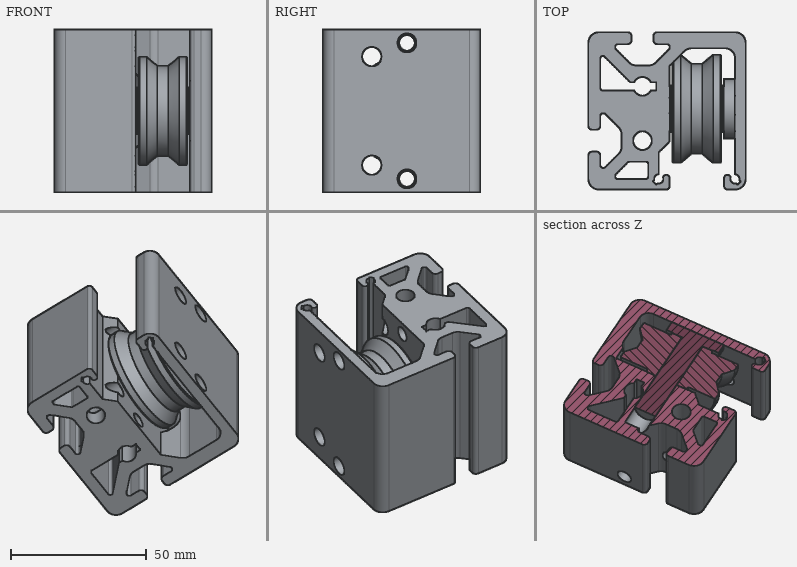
import cadquery as cq
SIDE = 58.0
HEIGHT = 60.0
CORNER_RADIUS = 4.0
WALL = 4.0
LIP = 4.5
INNER_RADIUS = 0.9
CHAMBER_RADIUS = 0.6

SLOT_CENTRE = 20.0
SLOT_OPENING = 8.0
SLOT_WIDTH = 20.0
SLOT_DEPTH = 12.25
SLOT_SIDE = 1.55
SLOT_FLOOR_RADIUS = 3.6
LIP_RADIUS = 1.5

FRONT_CORE_Y = SIDE - 2 * SLOT_CENTRE
BACK_CORE_Y = SIDE - SLOT_CENTRE
CORE_DIAMETER = 6.8
KEYWAY_WIDTH = 3.0
KEYWAY_END = 25.0
WEDGE_SLOPE_OFFSET = 3.05
CHAMBER_LEFT = 10.0
CHAMBER_RIGHT = 22.0
CHAMBER_TOP = 10.2
CHAMBER_SIDE = 1.45

BAY_LEFT = 30.0
BAY_RIGHT = SIDE - WALL
BACK_WALL = 6.0
BAY_BACK = SIDE - BACK_WALL
BAY_SLOPE_START = 45.6
BAY_STEP = 4.0
BAY_STEP_Y = 17.75
BAY_RADIUS = 3.6
BAY_SLOPE_RADIUS = 4.3
MOUTH_LEFT = BAY_LEFT - BAY_STEP
MOUTH_CENTRE = (MOUTH_LEFT + BAY_RIGHT) / 2

HOOK_REACH = 4.0
HOOK_TIP_DIAMETER = 2.5
HOOK_HEIGHT = 5.5
HOOK_RADIUS = 1.4
GROOVE_DIAMETER = 3.3
GROOVE_Y = 3.95
NOTCH_WIDTH = 1.7
NOTCH_REACH = 2.15

MOUNT_Y = 31.0
MOUNT_END_DISTANCE = 5.0
MOUNT_DIAMETER = 5.7
MOUNT_CLEARANCE_DIAMETER = 7.0
SLOT_HOLE_END_DISTANCE = 10.0
SLOT_HOLE_DIAMETER = 7.0

AXIS_Y = 29.75
AXIS_Z = HEIGHT / 2
WHEEL_DIAMETER = 39.9
WHEEL_WIDTH = 18.0
GROOVE_FLOOR_DIAMETER = 33.3
GROOVE_TOP_WIDTH = 12.0
GROOVE_FLOOR_WIDTH = 4.0
RIM_CHAMFER = 0.4
WHEEL_CLEARANCE_DIAMETER = 42.0
HUB_DIAMETER = 17.3
HUB_CHAMFER = 0.5
HEAD_DIAMETER = 22.0
HEAD_LENGTH = 4.0
HEAD_START = BAY_RIGHT - HEAD_LENGTH
HUB_WIDTH = HEAD_START - BAY_LEFT
WHEEL_CENTRE_X = BAY_LEFT + HUB_WIDTH / 2
SHAFT_DIAMETER = 8.4
SHAFT_START = 13.5
BORE_START = 6.0


def prism(points):
    """Full-height prism over a polygon in XY."""
    return cq.Workplane("XY").polyline(points).close().extrude(HEIGHT)


def block(left, right, front, back):
    """Full-height rectangular block."""
    return prism([(left, front), (right, front), (right, back), (left, back)])


def pillar(diameter, x, y):
    """Full-height cylinder along Z."""
    return cq.Workplane("XY").center(x, y).circle(diameter / 2).extrude(HEIGHT)


def rod(diameter, start, end, y=AXIS_Y, z=AXIS_Z):
    """Cylinder along X."""
    return cq.Workplane("YZ", origin=(start, y, z)).circle(diameter / 2).extrude(end - start)


def slot_space():
    """Space of a T slot that opens towards +Y at the origin."""
    half = SLOT_WIDTH / 2
    flank_end = -LIP - SLOT_SIDE
    floor_half = half - (SLOT_DEPTH + flank_end)
    pocket = prism([
        (-half, -LIP), (half, -LIP), (half, flank_end), (floor_half, -SLOT_DEPTH),
        (-floor_half, -SLOT_DEPTH), (-half, flank_end),
    ])
    pocket = pocket.edges("|Z and (<X or >X)").fillet(INNER_RADIUS)
    pocket = pocket.edges("|Z and <Y").fillet(SLOT_FLOOR_RADIUS)

    gap = SLOT_OPENING / 2
    flare = gap + LIP_RADIUS
    mouth = (
        cq.Workplane("XY")
        .moveTo(-flare, 0)
        .radiusArc((-gap, -LIP_RADIUS), LIP_RADIUS)
        .lineTo(-gap, LIP_RADIUS - LIP)
        .radiusArc((-flare, -LIP), LIP_RADIUS)
        .lineTo(flare, -LIP)
        .radiusArc((gap, LIP_RADIUS - LIP), LIP_RADIUS)
        .lineTo(gap, -LIP_RADIUS)
        .radiusArc((flare, 0), LIP_RADIUS)
        .close()
        .extrude(HEIGHT)
    )
    return pocket.union(mouth)


def wedge_chamber():
    """Triangular chamber, cut off into a keyway that runs through the back core hole."""
    front = BACK_CORE_Y - KEYWAY_WIDTH / 2
    back = BACK_CORE_Y + KEYWAY_WIDTH / 2
    slope_sum = SIDE - WEDGE_SLOPE_OFFSET
    wedge = prism([(LIP, front), (slope_sum - front, front), (LIP, slope_sum - LIP)])
    wedge = wedge.edges("|Z and <X").fillet(INNER_RADIUS)
    wedge = wedge.intersect(block(0, SIDE, front, SIDE)).cut(block(slope_sum - back, SIDE, 0, SIDE))
    return wedge.union(block(slope_sum - back - INNER_RADIUS, KEYWAY_END, front, back))


def small_chamber():
    """Four-sided chamber with one sloped corner, near the front side."""
    side_end = WALL + CHAMBER_SIDE
    slope_run = CHAMBER_TOP - side_end
    chamber = prism([
        (CHAMBER_LEFT, WALL), (CHAMBER_RIGHT, WALL), (CHAMBER_RIGHT, CHAMBER_TOP),
        (CHAMBER_LEFT + slope_run, CHAMBER_TOP), (CHAMBER_LEFT, side_end),
    ])
    return chamber.edges("|Z").fillet(CHAMBER_RADIUS)


def wheel_bay():
    """Open space for the wheel, wider at its mouth in the front side."""
    slope_run = BAY_BACK - BAY_SLOPE_START
    bay = prism([
        (MOUTH_LEFT, 0), (BAY_RIGHT, 0), (BAY_RIGHT, BAY_BACK), (BAY_LEFT + slope_run, BAY_BACK),
        (BAY_LEFT, BAY_SLOPE_START), (BAY_LEFT, BAY_STEP_Y), (MOUTH_LEFT, BAY_STEP_Y - BAY_STEP),
    ])
    bay = bay.edges("|Z and >Y").edges("<X").fillet(BAY_SLOPE_RADIUS)
    bay = bay.edges("|Z and >X").edges(">Y").fillet(BAY_RADIUS)
    return bay.union(rod(WHEEL_CLEARANCE_DIAMETER, BAY_LEFT, BAY_RIGHT - BAY_RADIUS))


def hook():
    """Hooked lip on the left side of the mouth."""
    end = MOUTH_LEFT + HOOK_REACH
    tip_y = HOOK_HEIGHT - HOOK_TIP_DIAMETER / 2
    foot = block(MOUTH_LEFT, end, 0, GROOVE_Y).edges("|Z and >X").edges("<Y").fillet(HOOK_RADIUS)
    neck = block(end - HOOK_TIP_DIAMETER, end, GROOVE_Y, tip_y)
    return foot.union(neck).union(pillar(HOOK_TIP_DIAMETER, end - HOOK_TIP_DIAMETER / 2, tip_y))


def hook_groove():
    """Round groove inside the left hook, with a notch towards the outer corner."""
    notch = block(-NOTCH_REACH, 0, -NOTCH_WIDTH / 2, NOTCH_WIDTH / 2)
    notch = notch.rotate((0, 0, 0), (0, 0, 1), 45).translate((MOUTH_LEFT, GROOVE_Y, 0))
    return pillar(GROOVE_DIAMETER, MOUTH_LEFT, GROOVE_Y).union(notch)


def mirrored_at_mouth(shape):
    """Mirror image on the other side of the mouth."""
    return shape.mirror("YZ", (MOUTH_CENTRE, 0, 0))


def end_pair(distance):
    """Z of a hole at each end of the profile."""
    return (distance, HEIGHT - distance)


def make_housing():
    body = cq.Workplane("XY").box(SIDE, SIDE, HEIGHT, centered=False)
    body = body.edges("|Z").fillet(CORNER_RADIUS)

    body = body.cut(wheel_bay())
    body = body.union(hook()).union(mirrored_at_mouth(hook()))
    body = body.cut(hook_groove()).cut(mirrored_at_mouth(hook_groove()))

    body = body.cut(slot_space().translate((SLOT_CENTRE, SIDE, 0)))
    body = body.cut(slot_space().rotate((0, 0, 0), (0, 0, 1), 90).translate((0, FRONT_CORE_Y, 0)))

    for core_y in (FRONT_CORE_Y, BACK_CORE_Y):
        body = body.cut(pillar(CORE_DIAMETER, SLOT_CENTRE, core_y))
    body = body.cut(wedge_chamber()).cut(small_chamber())

    for z in end_pair(MOUNT_END_DISTANCE):
        body = body.cut(rod(MOUNT_DIAMETER, 0, BAY_LEFT, MOUNT_Y, z))
        body = body.cut(rod(MOUNT_CLEARANCE_DIAMETER, BAY_RIGHT, SIDE, MOUNT_Y, z))
    for z in end_pair(SLOT_HOLE_END_DISTANCE):
        body = body.cut(rod(SLOT_HOLE_DIAMETER, 0, SIDE, FRONT_CORE_Y, z))

    return body.cut(rod(SHAFT_DIAMETER, BORE_START, BAY_LEFT))


def make_wheel():
    """V-groove wheel with a wider hub, bored for the shaft."""
    rim = WHEEL_DIAMETER / 2
    floor = GROOVE_FLOOR_DIAMETER / 2
    side = WHEEL_WIDTH / 2
    top_half = GROOVE_TOP_WIDTH / 2
    floor_half = GROOVE_FLOOR_WIDTH / 2
    section = [
        (-side, 0), (-side, rim), (-top_half, rim), (-floor_half, floor),
        (floor_half, floor), (top_half, rim), (side, rim), (side, 0),
    ]
    disc = cq.Workplane("XY").polyline(section).close().revolve(360, (0, 0, 0), (1, 0, 0))
    disc = disc.faces("<X or >X").chamfer(RIM_CHAMFER)
    disc = disc.translate((WHEEL_CENTRE_X, AXIS_Y, AXIS_Z))
    hub = rod(HUB_DIAMETER, BAY_LEFT, HEAD_START).faces("<X or >X").chamfer(HUB_CHAMFER)
    return disc.union(hub).cut(rod(SHAFT_DIAMETER, BAY_LEFT, HEAD_START))


def make_axle():
    """Shaft held in the housing core, with a round head against the right wall."""
    return rod(SHAFT_DIAMETER, SHAFT_START, HEAD_START).union(rod(HEAD_DIAMETER, HEAD_START, BAY_RIGHT))


housing = make_housing()
wheel = make_wheel()
axle = make_axle()

result = cq.Compound.makeCompound([housing.val(), wheel.val(), axle.val()])